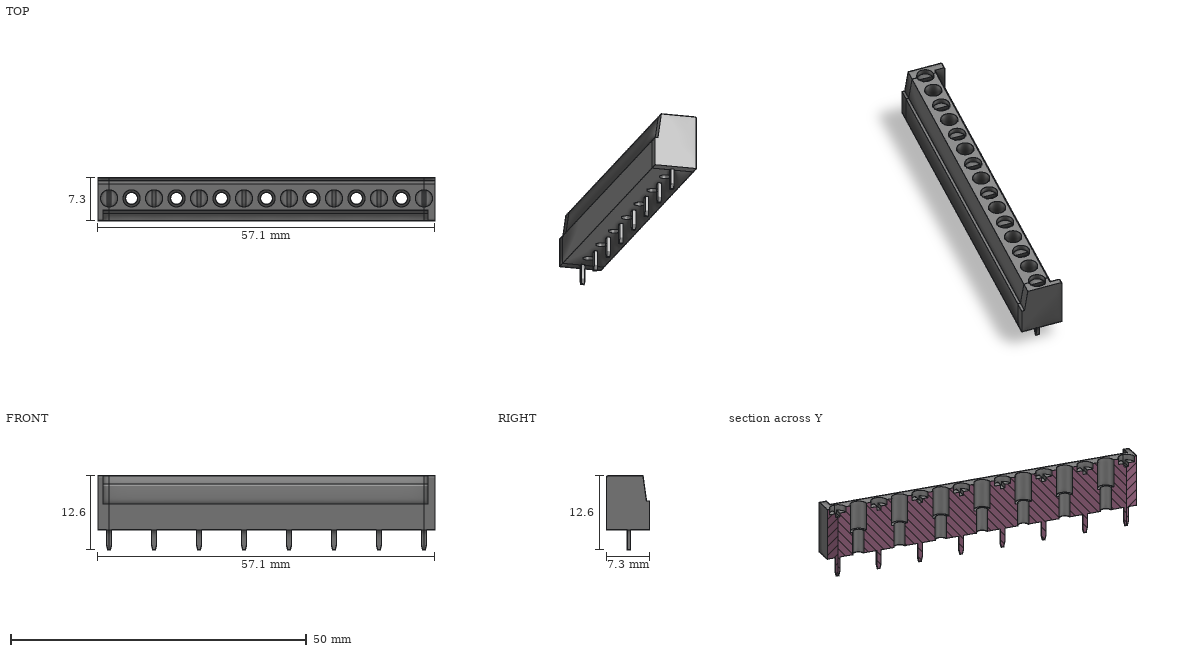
import cadquery as cq

PITCH = 3.81
POLES = 8
HOLE_COUNT = 2 * POLES - 1
HALF_SPAN = PITCH * (HOLE_COUNT - 1) / 2
LENGTH = PITCH * HOLE_COUNT
HALF_LENGTH = LENGTH / 2
SCREW_PITCH = 2 * PITCH

DEPTH = 7.3
HEIGHT = 9.2
FRONT_Y = -3.8
BACK_Y = FRONT_Y + DEPTH
BACK_STEP_Z = HEIGHT - 4.3
BACK_STEP_WIDTH = 0.5
BACK_TOP_SETBACK = 1.1

LEFT_WALL = 0.9
RIGHT_WALL = 1.25
RECESS_FLOOR_Z = HEIGHT - 4.8
RECESS_FLOOR_DEPTH = 1.2
LIP_Z = HEIGHT - 1.45
LIP_ROUND = 0.35
LIP_OUTER_DEPTH = 1.28
LIP_INNER_DEPTH = 1.65
RECESS_TOP_DEPTH = 1.8

BORE_DIAMETER = 2.9
SCREW_BORE_DEPTH = 1.0
SLOT_WIDTH = 0.7
SLOT_DEPTH = 0.7
WIRE_BORE_DEPTH = 5.0
WIRE_HOLE_DIAMETER = 2.0

PIN_WIDTH = 0.9
PIN_THICKNESS = 0.6
PIN_LENGTH = 3.4
PIN_TIP_LENGTH = 0.85
PIN_TIP_INSET = 0.22


def extrude_along_x(section, x_start, x_end):
    """Extrude a sketch drawn in the YZ plane from x_start to x_end."""
    return section.extrude(x_end - x_start).translate((x_start, 0, 0))


def housing_blank():
    """Full-length bar with a sloped upper back and a rounded top front edge."""
    section = (
        cq.Workplane("YZ")
        .moveTo(FRONT_Y, 0)
        .lineTo(BACK_Y, 0)
        .lineTo(BACK_Y, BACK_STEP_Z)
        .lineTo(BACK_Y - BACK_STEP_WIDTH, BACK_STEP_Z)
        .lineTo(BACK_Y - BACK_TOP_SETBACK, HEIGHT)
        .lineTo(FRONT_Y + LIP_ROUND, HEIGHT)
        .radiusArc((FRONT_Y, HEIGHT - LIP_ROUND), -LIP_ROUND)
        .close()
    )
    return extrude_along_x(section, -HALF_LENGTH, HALF_LENGTH)


def front_recess():
    """Cutter for the front recess: ledge, lower slope, rounded lip and upper slope."""
    section = (
        cq.Workplane("YZ")
        .moveTo(FRONT_Y, RECESS_FLOOR_Z)
        .lineTo(FRONT_Y + RECESS_FLOOR_DEPTH, RECESS_FLOOR_Z)
        .lineTo(FRONT_Y + LIP_OUTER_DEPTH, LIP_Z - LIP_ROUND)
        .radiusArc((FRONT_Y + LIP_INNER_DEPTH, LIP_Z), LIP_ROUND)
        .lineTo(FRONT_Y + RECESS_TOP_DEPTH, HEIGHT)
        .lineTo(FRONT_Y, HEIGHT)
        .close()
    )
    return extrude_along_x(section, LEFT_WALL - HALF_LENGTH, HALF_LENGTH - RIGHT_WALL)


def screw_recess(x):
    """Shallow bore whose floor is a screw head with a slot along Y."""
    bore = (
        cq.Workplane("XY", origin=(x, 0, HEIGHT - SCREW_BORE_DEPTH))
        .circle(BORE_DIAMETER / 2)
        .extrude(SCREW_BORE_DEPTH)
    )
    cylinder = (
        cq.Workplane("XY", origin=(x, 0, HEIGHT - SCREW_BORE_DEPTH - SLOT_DEPTH))
        .circle(BORE_DIAMETER / 2)
        .extrude(SLOT_DEPTH)
    )
    strip = (
        cq.Workplane("XY", origin=(x, 0, HEIGHT - SCREW_BORE_DEPTH - SLOT_DEPTH))
        .rect(SLOT_WIDTH, BORE_DIAMETER)
        .extrude(SLOT_DEPTH)
    )
    return bore.union(cylinder.intersect(strip))


def solder_pin(x):
    """Flat pin below the housing, tapered across its width at the tip."""
    half_width = PIN_WIDTH / 2
    half_tip = half_width - PIN_TIP_INSET
    tip_start_z = PIN_TIP_LENGTH - PIN_LENGTH
    return (
        cq.Workplane("XZ", origin=(x, PIN_THICKNESS / 2, 0))
        .polyline([
            (-half_width, 0),
            (half_width, 0),
            (half_width, tip_start_z),
            (half_tip, -PIN_LENGTH),
            (-half_tip, -PIN_LENGTH),
            (-half_width, tip_start_z),
        ])
        .close()
        .extrude(PIN_THICKNESS)
    )


def terminal_strip():
    """Whole strip in one piece: housing with its holes and pins."""
    strip = housing_blank().cut(front_recess())
    for pole in range(POLES):
        x = pole * SCREW_PITCH - HALF_SPAN
        strip = strip.cut(screw_recess(x)).union(solder_pin(x))

    wire_points = [((pole + 0.5) * SCREW_PITCH - HALF_SPAN, 0) for pole in range(POLES - 1)]
    return (
        strip.faces(">Z")
        .workplane(origin=(0, 0, HEIGHT))
        .pushPoints(wire_points)
        .cboreHole(WIRE_HOLE_DIAMETER, BORE_DIAMETER, WIRE_BORE_DEPTH)
    )


def strip_segment(strip, x_start, x_end):
    """Part of the strip between two planes across X."""
    slab_height = 2 * (HEIGHT + PIN_LENGTH)
    slab = cq.Workplane("XY").box(x_end - x_start, 2 * DEPTH, slab_height)
    return strip.intersect(slab.translate(((x_start + x_end) / 2, 0, 0)))


strip = terminal_strip()
left_end = strip_segment(strip, -HALF_LENGTH, -HALF_SPAN)
middle = strip_segment(strip, -HALF_SPAN, HALF_SPAN)
right_end = strip_segment(strip, HALF_SPAN, HALF_LENGTH)

result = cq.Compound.makeCompound([left_end.val(), middle.val(), right_end.val()])